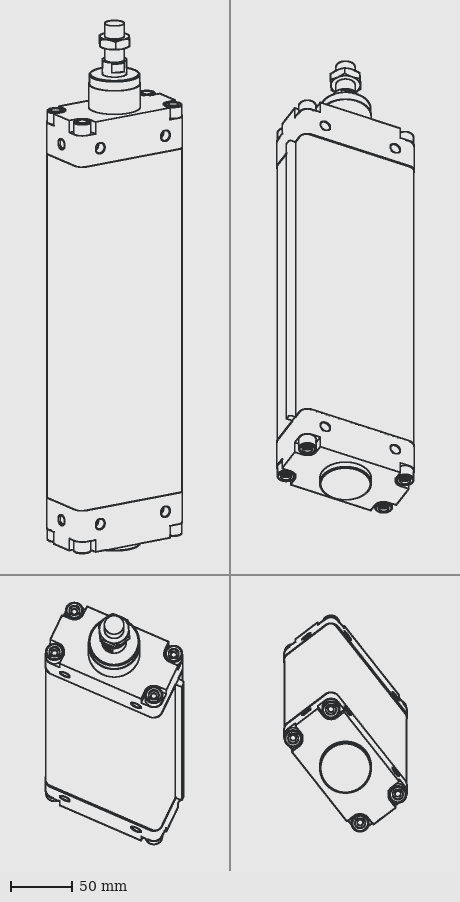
import cadquery as cq
import math

TOTAL_LENGTH = 443.0
CAP_BASE_Z = 5.8
CAP_TOP_Z = 371.5
CAP_HEIGHT = 36.8
NECK_TOP_Z = 400.0

CAP_WIDTH = 54.0
CAP_DEPTH = 104.0
CAP_CORNER_RADIUS = 7.5
BARREL_WIDTH = 52.0
BARREL_DEPTH = 103.0
BARREL_CORNER_RADIUS = 5.8

RAIL_WIDTH = 5.5
RAIL_CENTER_X = -9.7
TOTAL_DEPTH = 109.5
RAIL_TOP_Y = TOTAL_DEPTH - CAP_DEPTH / 2
RAIL_FILLET = 1.8

BOSS_DIAMETER = 42.0
NECK_RIM_DIAMETER = 41.0
NECK_RIM_HEIGHT = 8.5
BOSS_CHAMFER = 1.0

SCREW_X = CAP_WIDTH / 2 - CAP_CORNER_RADIUS
SCREW_Y = CAP_DEPTH / 2 - CAP_CORNER_RADIUS
SCREW_RECESS_DIAMETER = 16.0
SCREW_RECESS_DEPTH = 10.0
SCREW_HEAD_DIAMETER = 14.0
SCREW_HEAD_CHAMFER = 1.0
SCREW_SOCKET_DIAMETER = 8.5
SCREW_SOCKET_DEPTH = 2.5
SCREW_PILOT_DIAMETER = 5.0
SCREW_PILOT_DEPTH = 1.5

AIR_PORT_MOUTH_DIAMETER = 9.5
AIR_PORT_DIAMETER = 7.0
AIR_PORT_DEPTH = 9.0
SIDE_PORT_MOUTH_DIAMETER = 9.5
SIDE_PORT_DIAMETER = 8.5
SIDE_PORT_DEPTH = 9.0
PORT_INSET = 23.0
SIDE_PORT_Y = 32.0
DRILL_TIP_ANGLE = 118.0

ROD_DIAMETER = 16.0
COLLAR_DIAMETER = 20.0
COLLAR_TOP_Z = 412.0
FLAT_SPACING = 17.0
FLAT_TOP_Z = 411.0
FLAT_HEIGHT = 7.5
FLAT_ANGLE = -14.0

NUT_ACROSS_FLATS = 24.0
NUT_HEIGHT = 8.0
NUT_BASE_Z = 424.0
NUT_CHAMFER_ANGLE = 30.0


def rounded_block(width, depth, radius, base_z, height):
    """Upright block centred on the Z axis with rounded vertical edges."""
    block = cq.Workplane("XY").workplane(offset=base_z).rect(width, depth).extrude(height)
    return block.edges("|Z").fillet(radius)


def cylinder(diameter, base_z, height, x=0.0, y=0.0):
    """Upright cylinder standing on base_z."""
    return cq.Workplane("XY", origin=(x, y, base_z)).circle(diameter / 2).extrude(height)


def revolved_cutter(profile, mouth, inward):
    """Hole cutter from (radius, depth) points, with its axis running inward from the mouth centre."""
    axis = cq.Vector(inward)
    across = cq.Vector(axis.z, axis.x, axis.y)
    plane = cq.Plane(origin=mouth, xDir=across, normal=across.cross(axis))
    return cq.Workplane(plane).polyline(profile).close().revolve(360, (0, 0), (0, 1))


def tip_length(diameter):
    """Height of the conical tip that a drill of this diameter leaves."""
    return diameter / 2 / math.tan(math.radians(DRILL_TIP_ANGLE / 2))


def side_port(mouth, inward):
    """Blind hole with a chamfered mouth and a conical tip."""
    mouth_radius = SIDE_PORT_MOUTH_DIAMETER / 2
    radius = SIDE_PORT_DIAMETER / 2
    tip_depth = SIDE_PORT_DEPTH + tip_length(SIDE_PORT_DIAMETER)
    profile = [(0, 0), (mouth_radius, 0), (radius, mouth_radius - radius)]
    profile += [(radius, SIDE_PORT_DEPTH), (0, tip_depth)]
    return revolved_cutter(profile, mouth, inward)


def air_port(mouth, inward):
    """Blind flat-bottomed hole with a chamfered mouth."""
    mouth_radius = AIR_PORT_MOUTH_DIAMETER / 2
    radius = AIR_PORT_DIAMETER / 2
    profile = [(0, 0), (mouth_radius, 0), (radius, mouth_radius - radius)]
    profile += [(radius, AIR_PORT_DEPTH), (0, AIR_PORT_DEPTH)]
    return revolved_cutter(profile, mouth, inward)


def socket_cutter(x, y):
    """Stepped screw socket: a wide bore, then a pilot hole with a conical tip."""
    radius = SCREW_SOCKET_DIAMETER / 2
    pilot_radius = SCREW_PILOT_DIAMETER / 2
    pilot_end = SCREW_SOCKET_DEPTH + SCREW_PILOT_DEPTH
    tip_depth = pilot_end + tip_length(SCREW_PILOT_DIAMETER)
    profile = [(0, 0), (radius, 0), (radius, SCREW_SOCKET_DEPTH), (pilot_radius, SCREW_SOCKET_DEPTH)]
    profile += [(pilot_radius, pilot_end), (0, tip_depth)]
    return revolved_cutter(profile, (x, y, SCREW_RECESS_DEPTH), (0, 0, -1))


def screw_recess(side_x, side_y):
    """Corner cutter, open to both outer cap faces, standing on Z = 0."""
    x = side_x * SCREW_X
    y = side_y * SCREW_Y
    half = SCREW_RECESS_DIAMETER / 2
    recess = cylinder(SCREW_RECESS_DIAMETER, 0, SCREW_RECESS_DEPTH, x, y)
    for shift_x, shift_y in ((side_x * half, 0), (0, side_y * half)):
        square = cq.Workplane("XY", origin=(x + shift_x, y + shift_y, 0))
        square = square.rect(SCREW_RECESS_DIAMETER, SCREW_RECESS_DIAMETER)
        recess = recess.union(square.extrude(SCREW_RECESS_DEPTH))
    return recess


def screw_head(side_x, side_y):
    """Chamfered head with a stepped socket, standing on Z = 0."""
    x = side_x * SCREW_X
    y = side_y * SCREW_Y
    head = cylinder(SCREW_HEAD_DIAMETER, 0, SCREW_RECESS_DEPTH, x, y)
    head = head.faces(">Z").chamfer(SCREW_HEAD_CHAMFER)
    return head.cut(socket_cutter(x, y))


def make_cap(base_z, upward):
    """End cap whose outer face, with its corner screws, points up or down."""
    cap = rounded_block(CAP_WIDTH, CAP_DEPTH, CAP_CORNER_RADIUS, 0, CAP_HEIGHT)
    for side_x in (-1, 1):
        for side_y in (-1, 1):
            seat = (0, 0, CAP_HEIGHT - SCREW_RECESS_DEPTH)
            cap = cap.cut(screw_recess(side_x, side_y).translate(seat))
            cap = cap.union(screw_head(side_x, side_y).translate(seat))
    port_z = CAP_HEIGHT - PORT_INSET
    for side_x in (-1, 1):
        for side_y in (-1, 1):
            mouth = (side_x * CAP_WIDTH / 2, side_y * SIDE_PORT_Y, port_z)
            cap = cap.cut(side_port(mouth, (-side_x, 0, 0)))
    cap = cap.cut(air_port((0, -CAP_DEPTH / 2, port_z), (0, 1, 0)))
    if not upward:
        cap = cap.mirror("XY").translate((0, 0, CAP_HEIGHT))
    return cap.translate((0, 0, base_z))


def make_housing():
    barrel_z = CAP_BASE_Z + CAP_HEIGHT
    upper_cap_z = CAP_TOP_Z - CAP_HEIGHT
    barrel_length = upper_cap_z - barrel_z
    housing = rounded_block(BARREL_WIDTH, BARREL_DEPTH, BARREL_CORNER_RADIUS, barrel_z, barrel_length)
    rail = cq.Workplane("XY", origin=(RAIL_CENTER_X, RAIL_TOP_Y / 2, barrel_z))
    rail = rail.rect(RAIL_WIDTH, RAIL_TOP_Y).extrude(barrel_length)
    rail = rail.faces("<X").edges(">Y").fillet(RAIL_FILLET)
    housing = housing.union(rail)
    housing = housing.union(make_cap(CAP_BASE_Z, False)).union(make_cap(upper_cap_z, True))

    foot = cylinder(BOSS_DIAMETER, 0, CAP_BASE_Z).faces("<Z").chamfer(BOSS_CHAMFER)
    rim_z = NECK_TOP_Z - NECK_RIM_HEIGHT
    neck = cylinder(BOSS_DIAMETER, CAP_TOP_Z, rim_z - CAP_TOP_Z)
    rim = cylinder(NECK_RIM_DIAMETER, rim_z, NECK_RIM_HEIGHT).faces(">Z").chamfer(BOSS_CHAMFER)
    return housing.union(foot).union(neck).union(rim)


def make_rod():
    rod = cylinder(COLLAR_DIAMETER, NECK_TOP_Z, COLLAR_TOP_Z - NECK_TOP_Z)
    rod = rod.union(cylinder(ROD_DIAMETER, COLLAR_TOP_Z, TOTAL_LENGTH - COLLAR_TOP_Z))
    for side in (-1, 1):
        waste = cq.Workplane("XY", origin=(side * (FLAT_SPACING + COLLAR_DIAMETER) / 2, 0, FLAT_TOP_Z))
        waste = waste.rect(COLLAR_DIAMETER, COLLAR_DIAMETER).extrude(-FLAT_HEIGHT)
        rod = rod.cut(waste.rotate((0, 0, 0), (0, 0, 1), FLAT_ANGLE))
    return rod


def make_nut():
    corner_diameter = NUT_ACROSS_FLATS / math.cos(math.pi / 6)
    chamfer_width = (corner_diameter - NUT_ACROSS_FLATS) / 2
    chamfer_height = chamfer_width * math.tan(math.radians(NUT_CHAMFER_ANGLE))
    hexagon = cq.Workplane("XY", origin=(0, 0, NUT_BASE_Z)).polygon(6, corner_diameter).extrude(NUT_HEIGHT)
    hexagon = hexagon.rotate((0, 0, 0), (0, 0, 1), 90)
    envelope = cylinder(corner_diameter, NUT_BASE_Z, NUT_HEIGHT)
    envelope = envelope.faces("<Z or >Z").chamfer(chamfer_height, chamfer_width)
    return hexagon.intersect(envelope).cut(cylinder(ROD_DIAMETER, NUT_BASE_Z, NUT_HEIGHT))


housing = make_housing()
rod = make_rod()
nut = make_nut()
result = cq.Compound.makeCompound([housing.val(), rod.val(), nut.val()])